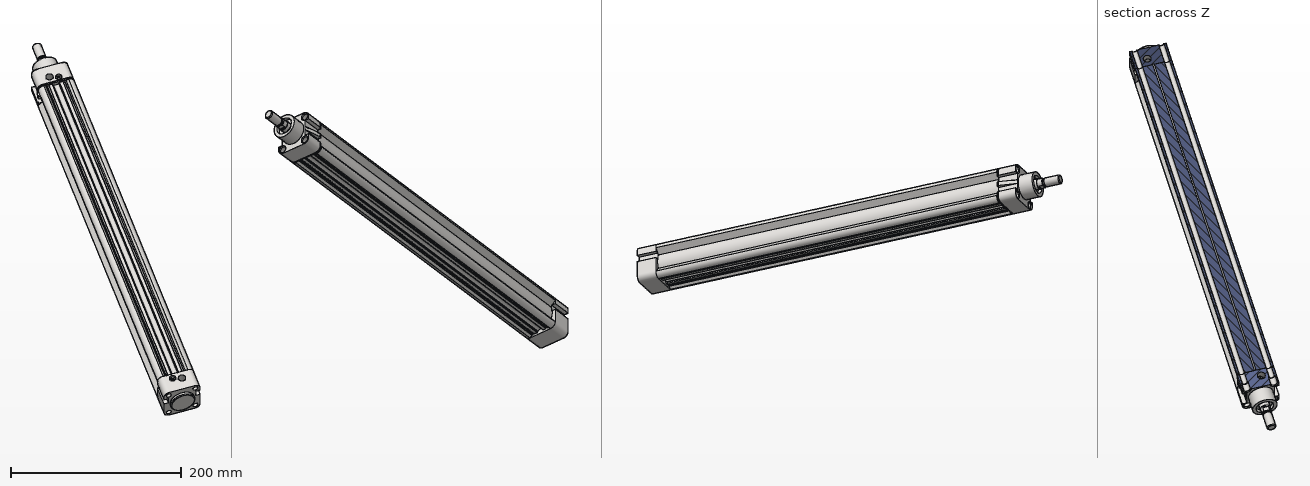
import cadquery as cq
import math

TOTAL_LENGTH = 546.0
CAP_LENGTH = 24.5
FRONT_COLLAR_LENGTH = 18.0
REAR_COLLAR_LENGTH = 4.0
HEAD_FACE = 48.0
REAR_FACE = TOTAL_LENGTH - REAR_COLLAR_LENGTH
BARREL_START = HEAD_FACE + CAP_LENGTH
BARREL_END = REAR_FACE - CAP_LENGTH

WIDTH = 45.0
HALF_WIDTH = WIDTH / 2
CORNER_RADIUS = 7.0
CORNER_START = HALF_WIDTH - CORNER_RADIUS

BOLT_OFFSET = 16.5
BOLT_HOLE_DIAMETER = 6.0
SOCKET_DIAMETER = 7.5
SOCKET_DEPTH = 11.0
SOCKET_CHAMFER = 1.0
SOCKET_RIM_DIAMETER = SOCKET_DIAMETER + 2 * SOCKET_CHAMFER
SOCKET_RIM_TAPER = 45

NOTCH_DEPTH = 5.5
NOTCH_FLOOR = HALF_WIDTH - NOTCH_DEPTH
NOTCH_NEAR = 2.45
NOTCH_HEIGHT = 8.0
NOTCH_MIDDLE = NOTCH_NEAR + NOTCH_HEIGHT / 2

COLLAR_DIAMETER = 30.0
COLLAR_CHAMFER = 1.0
WIPER_DIAMETER = 21.5
WIPER_DEPTH = 4.5
LIP_DIAMETER = 13.0
LIP_PROTRUSION = 1.5

RIM_GAP = 1.5
RIM_INSET = 1.0

PORT_SETBACK = 15.5
PORT_OFFSET = 5.0
PORT_DIAMETER = 9.0
SCREW_SETBACK = 18.5
SCREW_OFFSET = 5.5
SCREW_RECESS_DIAMETER = 7.5
SCREW_RECESS_DEPTH = 3.5
SCREW_DIAMETER = 4.0
SCREW_DEPTH = 5.0

CHAMBER_DIAMETER = 19.5
CHAMBER_SETBACK = 8.0

BULGE_RADIUS = 18.0
BULGE_EDGE = 9.0
TOP_FLOOR_DROP = 3.0
SLOT_FLOOR = 18.0
SIDE_SLOT_OUTER = 11.0
SIDE_SLOT_INNER = 9.0
MIDDLE_SLOT_HALF_WIDTH = 4.5
GUTTER_HALF_WIDTH = 3.5
GUTTER_FLOOR = 16.5

ROD_DIAMETER = 12.0
THREAD_DIAMETER = 11.0
THREAD_LENGTH = 22.0
THREAD_CHAMFER = 1.0
NECK_DIAMETER = 9.0
NECK_LENGTH = 2.0
FLATS_WIDTH = 10.0
FLATS_LENGTH = 5.0


def cylinder_x(diameter, start, end):
    """Cylinder on the part axis between two X positions."""
    return cq.Workplane("YZ", origin=(start, 0, 0)).circle(diameter / 2).extrude(end - start)


def box_x(start, end, width, height, y=0, z=0):
    """Block between two X positions, centred on (y, z)."""
    return cq.Workplane("YZ", origin=(start, y, z)).rect(width, height).extrude(end - start)


def bolt_pattern(start, diameter, length, taper=0):
    """Solids for four holes around the tie bolt axes, narrowing by `taper` degrees."""
    pitch = 2 * BOLT_OFFSET
    sketch = cq.Workplane("YZ", origin=(start, 0, 0)).rect(pitch, pitch, forConstruction=True)
    return sketch.vertices().circle(diameter / 2).extrude(length, taper=taper)


def cap_block(start):
    """Rounded square block with its four tie bolt holes."""
    block = box_x(start, start + CAP_LENGTH, WIDTH, WIDTH).edges("|X").fillet(CORNER_RADIUS)
    return block.cut(bolt_pattern(start, BOLT_HOLE_DIAMETER, CAP_LENGTH))


def side_notches(start, z):
    """Notches through the length of a cap, on both Y sides."""
    notches = cq.Workplane()
    for side in (-1, 1):
        y = side * (HALF_WIDTH - NOTCH_DEPTH / 2)
        notches = notches.add(box_x(start, start + CAP_LENGTH, NOTCH_DEPTH, NOTCH_HEIGHT, y, z))
    return notches.combine()


def top_openings(cap_face, direction):
    """Port down to the cushion chamber and a stepped cushion screw recess.

    `direction` points from the outer face of the cap towards the barrel.
    """
    port_place = (cap_face + direction * PORT_SETBACK, -direction * PORT_OFFSET, HALF_WIDTH)
    port = cq.Workplane("XY", origin=port_place).circle(PORT_DIAMETER / 2).extrude(-HALF_WIDTH)
    screw_place = (cap_face + direction * SCREW_SETBACK, direction * SCREW_OFFSET, HALF_WIDTH)
    screw_plane = cq.Workplane("XY", origin=screw_place)
    recess = screw_plane.circle(SCREW_RECESS_DIAMETER / 2).extrude(-SCREW_RECESS_DEPTH)
    screw = screw_plane.circle(SCREW_DIAMETER / 2).extrude(-SCREW_DEPTH)
    return port.union(recess).union(screw)


def rib_tapers():
    """Wedges that slope the middle rib of the head from the notch floor out to full width."""
    wedge = (
        cq.Workplane("XY", origin=(0, 0, -NOTCH_NEAR))
        .polyline([
            (HEAD_FACE, -NOTCH_FLOOR),
            (HEAD_FACE, -HALF_WIDTH),
            (BARREL_START, -HALF_WIDTH),
        ])
        .close()
        .extrude(2 * NOTCH_NEAR)
    )
    return wedge.union(wedge.mirror("XZ"))


def make_head():
    collar_front = HEAD_FACE - FRONT_COLLAR_LENGTH
    lip_front = collar_front - LIP_PROTRUSION
    wiper_floor = collar_front + WIPER_DEPTH
    head = cap_block(HEAD_FACE)
    head = head.cut(bolt_pattern(HEAD_FACE, SOCKET_DIAMETER, SOCKET_DEPTH))
    head = head.cut(bolt_pattern(HEAD_FACE, SOCKET_RIM_DIAMETER, SOCKET_CHAMFER, SOCKET_RIM_TAPER))
    for z in (-NOTCH_MIDDLE, NOTCH_MIDDLE):
        head = head.cut(side_notches(HEAD_FACE, z))
    head = head.cut(rib_tapers())
    head = head.cut(top_openings(HEAD_FACE, 1))

    rim_start = BARREL_START - RIM_GAP
    rim_core = box_x(rim_start, BARREL_START, WIDTH - 2 * RIM_INSET, WIDTH - 2 * RIM_INSET)
    rim_core = rim_core.edges("|X").fillet(CORNER_RADIUS - RIM_INSET)
    head = head.cut(box_x(rim_start, BARREL_START, WIDTH, WIDTH).cut(rim_core))

    head = head.union(cylinder_x(COLLAR_DIAMETER, collar_front, HEAD_FACE))
    head = head.cut(cylinder_x(WIPER_DIAMETER, collar_front, wiper_floor))
    head = head.union(cylinder_x(LIP_DIAMETER, lip_front, wiper_floor))
    head = head.cut(cylinder_x(CHAMBER_DIAMETER, HEAD_FACE + CHAMBER_SETBACK, BARREL_START))
    return head.cut(cylinder_x(ROD_DIAMETER, lip_front, BARREL_START))


def make_rear_cap():
    collar = cylinder_x(COLLAR_DIAMETER, REAR_FACE, TOTAL_LENGTH).faces(">X").chamfer(COLLAR_CHAMFER)
    cap = cap_block(BARREL_END).cut(side_notches(BARREL_END, NOTCH_MIDDLE))
    cap = cap.cut(top_openings(REAR_FACE, -1))
    cap = cap.cut(cylinder_x(CHAMBER_DIAMETER, BARREL_END, REAR_FACE - CHAMBER_SETBACK))
    return cap.union(collar)


def top_grooves():
    """Wide 45-degree recess in the top of the barrel with three slots sunk in its floor.

    The middle slot has a round gutter along its bottom.
    """
    floor = HALF_WIDTH - TOP_FLOOR_DROP
    floor_edge = CORNER_START - TOP_FLOOR_DROP
    length = BARREL_END - BARREL_START
    grooves = (
        cq.Workplane("YZ", origin=(BARREL_START, 0, 0))
        .polyline([
            (-CORNER_START, HALF_WIDTH),
            (-floor_edge, floor),
            (floor_edge, floor),
            (CORNER_START, HALF_WIDTH),
        ])
        .close()
        .extrude(length)
    )
    side_slot_width = SIDE_SLOT_OUTER - SIDE_SLOT_INNER
    side_slot_middle = (SIDE_SLOT_OUTER + SIDE_SLOT_INNER) / 2
    slot_height = floor - SLOT_FLOOR
    slot_z = (floor + SLOT_FLOOR) / 2
    for y in (-side_slot_middle, side_slot_middle):
        grooves = grooves.union(box_x(BARREL_START, BARREL_END, side_slot_width, slot_height, y, slot_z))
    middle_slot = (
        cq.Workplane("YZ", origin=(BARREL_START, 0, 0))
        .moveTo(-MIDDLE_SLOT_HALF_WIDTH, floor)
        .lineTo(-MIDDLE_SLOT_HALF_WIDTH, SLOT_FLOOR)
        .lineTo(-GUTTER_HALF_WIDTH, SLOT_FLOOR)
        .threePointArc((0, GUTTER_FLOOR), (GUTTER_HALF_WIDTH, SLOT_FLOOR))
        .lineTo(MIDDLE_SLOT_HALF_WIDTH, SLOT_FLOOR)
        .lineTo(MIDDLE_SLOT_HALF_WIDTH, floor)
        .close()
        .extrude(length)
    )
    return grooves.union(middle_slot)


def side_recess():
    """Recess in the -Y side of the barrel: 45-degree flanks running onto a round bulge."""
    bulge_y = math.sqrt(BULGE_RADIUS**2 - BULGE_EDGE**2)
    return (
        cq.Workplane("YZ", origin=(BARREL_START, 0, 0))
        .moveTo(-HALF_WIDTH, CORNER_START)
        .lineTo(-bulge_y, BULGE_EDGE)
        .threePointArc((-BULGE_RADIUS, 0), (-bulge_y, -BULGE_EDGE))
        .lineTo(-HALF_WIDTH, -CORNER_START)
        .close()
        .extrude(BARREL_END - BARREL_START)
    )


def make_barrel():
    length = BARREL_END - BARREL_START
    barrel = box_x(BARREL_START, BARREL_END, WIDTH, WIDTH).edges("|X").fillet(CORNER_RADIUS)
    barrel = barrel.cut(bolt_pattern(BARREL_START, BOLT_HOLE_DIAMETER, length))
    for recess in (side_recess(), top_grooves()):
        barrel = barrel.cut(recess)
        barrel = barrel.cut(recess.rotate((0, 0, 0), (1, 0, 0), 180))
    return barrel


def make_rod():
    thread = cylinder_x(THREAD_DIAMETER, 0, THREAD_LENGTH - NECK_LENGTH)
    thread = thread.faces("<X").chamfer(THREAD_CHAMFER)
    neck = cylinder_x(NECK_DIAMETER, THREAD_LENGTH - NECK_LENGTH, THREAD_LENGTH)
    shank = cylinder_x(ROD_DIAMETER, THREAD_LENGTH, BARREL_START)
    flats_end = THREAD_LENGTH + FLATS_LENGTH
    flats = box_x(THREAD_LENGTH, flats_end, ROD_DIAMETER, ROD_DIAMETER)
    flats = flats.cut(box_x(THREAD_LENGTH, flats_end, ROD_DIAMETER, FLATS_WIDTH))
    return thread.union(neck).union(shank.cut(flats))


head = make_head()
barrel = make_barrel()
rear_cap = make_rear_cap()
rod = make_rod()

result = cq.Compound.makeCompound([head.val(), barrel.val(), rear_cap.val(), rod.val()])